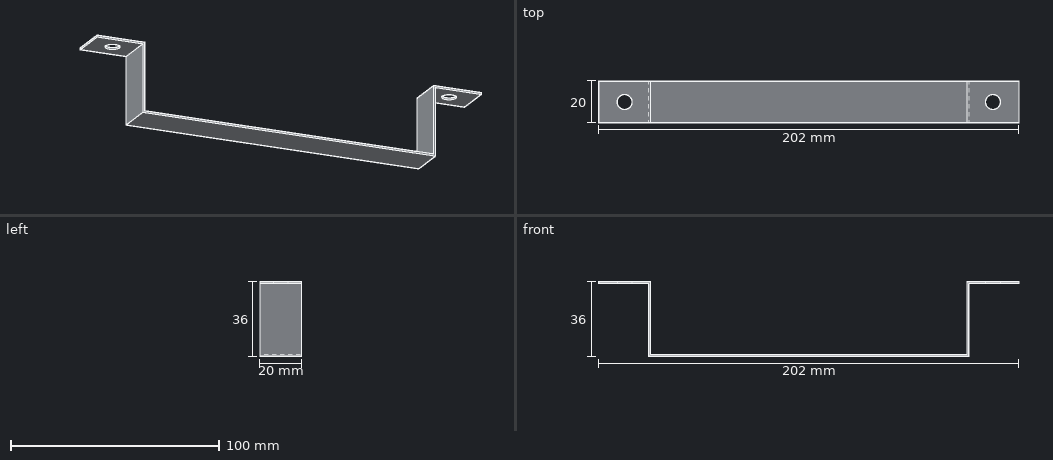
import cadquery as cq

length = 202.0
width = 20.0
height = 36.0
thickness = 1.0
flange_length = 25.0
hole_diameter = 7.0
hole_from_end = 12.5

half_length = length / 2
inner_half = half_length - flange_length
outer_half = inner_half + thickness
hole_x = half_length - hole_from_end

right_half = [
    (outer_half, 0),
    (outer_half, height - thickness),
    (half_length, height - thickness),
    (half_length, height),
    (inner_half, height),
    (inner_half, thickness),
]
left_half = [(-x, z) for x, z in reversed(right_half)]

strip = (
    cq.Workplane("XZ")
    .polyline(right_half + left_half)
    .close()
    .extrude(width / 2, both=True)
)

holes = (
    cq.Workplane("XY", origin=(0, 0, height - thickness))
    .pushPoints([(-hole_x, 0), (hole_x, 0)])
    .circle(hole_diameter / 2)
    .extrude(thickness)
)

result = strip.cut(holes)